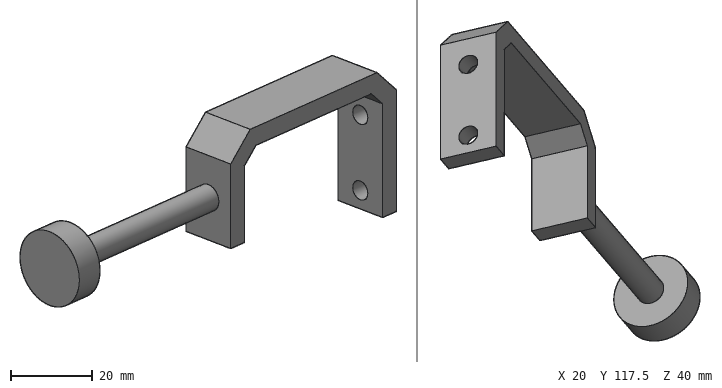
import cadquery as cq
import math

strap_width = 15.0
strap_thickness = 5.0
bracket_length = 60.0
back_leg_height = 40.0
front_leg_height = 30.0
outer_bevel = 7.0
inner_bevel = outer_bevel - strap_thickness * (2 - math.sqrt(2))

overall_length = 117.5
rod_diameter = 7.0
knob_diameter = 20.0
knob_thickness = 7.5
rod_length = overall_length - bracket_length - knob_thickness
rod_drop = 18.5

hole_diameter = 5.0
hole_edge_distance = 5.0
hole_spacing = 20.5

top_z = back_leg_height
front_foot_z = back_leg_height - front_leg_height
rod_z = top_z - rod_drop


def make_bracket():
    inner_front = strap_thickness
    inner_back = bracket_length - strap_thickness
    inner_top = top_z - strap_thickness
    outline = [
        (0, front_foot_z),
        (0, top_z - outer_bevel),
        (outer_bevel, top_z),
        (bracket_length - outer_bevel, top_z),
        (bracket_length, top_z - outer_bevel),
        (bracket_length, 0),
        (inner_back, 0),
        (inner_back, inner_top - inner_bevel),
        (inner_back - inner_bevel, inner_top),
        (inner_front + inner_bevel, inner_top),
        (inner_front, inner_top - inner_bevel),
        (inner_front, front_foot_z),
    ]
    return cq.Workplane("YZ").polyline(outline).close().extrude(strap_width / 2, both=True)


def cylinder_along_y(diameter, length, start_y, z):
    """Cylinder on the X = 0 plane, running towards +Y from start_y."""
    axis_start = cq.Vector(0, start_y, z)
    return cq.Solid.makeCylinder(diameter / 2, length, axis_start, cq.Vector(0, 1, 0))


def make_screw():
    rod = cylinder_along_y(rod_diameter, rod_length, -rod_length, rod_z)
    knob = cylinder_along_y(knob_diameter, knob_thickness, -rod_length - knob_thickness, rod_z)
    return cq.Workplane(rod).union(cq.Workplane(knob))


def make_mounting_holes():
    start_y = bracket_length - strap_thickness
    lower_z = hole_edge_distance
    upper_z = hole_edge_distance + hole_spacing
    holes = cq.Workplane()
    for hole_z in (lower_z, upper_z):
        holes = holes.add(cylinder_along_y(hole_diameter, strap_thickness, start_y, hole_z))
    return holes.combine()


result = make_bracket().cut(make_mounting_holes()).union(make_screw())